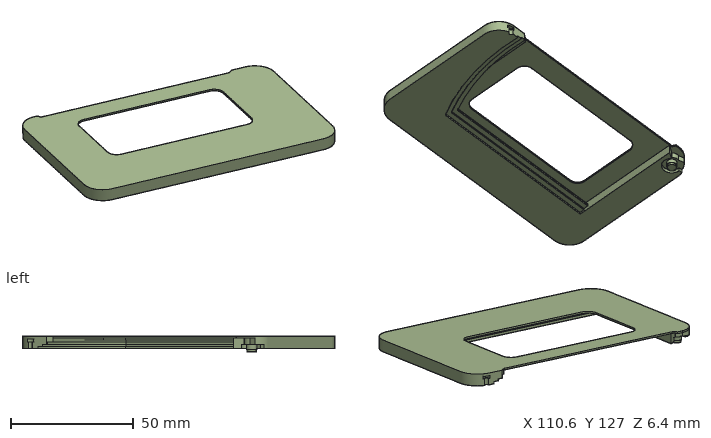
import cadquery as cq
import math

turn_angle = -29.4
plate_width = 70.2
plate_length = 113.3
plate_thickness = 5.1
corner_radius = 8.5
cover_thickness = 0.8

half_width = plate_width / 2
half_length = plate_length / 2

relief_depth = 1.5
relief_edge = relief_depth - half_width
relief_top_inner = 39.9
relief_top_outer = 42.0
relief_bottom_inner = -45.9
relief_bottom_outer = -46.6

window_width = 33.8
window_length = 65.7
window_center = (-7.0, -2.5)
window_radius = 4.2

pivot = (-29.1, -50.4)
boss_diameter = 6.1
arm_bottom = -3.4
pin_diameter = 4.2
tip_diameter = 3.8
pin_shoulder = -5.3
pin_bottom = -6.4
clearance_radius = 4.2
clearance_right = -29.2

pocket_bottom_wall = -44.5
upper_end_wall = relief_top_inner
pocket_sweep_radius = 92.2
pocket_right_wall = 12.7
pocket_layers = [
    (-cover_thickness, -1.5, 5.6, upper_end_wall),
    (-1.5, -2.3, 0.8, upper_end_wall),
    (-2.3, arm_bottom, 0, half_length),
    (arm_bottom, -4.2, 2.2, half_length),
    (-4.2, -plate_thickness, 4.3, half_length),
]

cutback_inner = (-31.2, -48.1)
cutback_middle = (-31.6, -49.9)
cutback_outer = (-33.0, -54.9)

groove_diameter = 1.9
groove_top = -2.3
groove_head_diameter = 3.0
groove_head_top = -1.1
groove_angle = 170.0


def prism(sketch, top, bottom):
    """Extrude a flat outline drawn at z = 0 so that it fills bottom..top."""
    return sketch.extrude(top - bottom).translate((0, 0, bottom))


def cylinder(center, diameter, top, bottom):
    return prism(cq.Workplane("XY").center(*center).circle(diameter / 2), top, bottom)


def block(left, right, low, high, top, bottom):
    outline = cq.Workplane("XY").center((left + right) / 2, (low + high) / 2).rect(right - left, high - low)
    return prism(outline, top, bottom)


def make_plate():
    blank = prism(cq.Workplane("XY").rect(plate_width, plate_length), 0, -plate_thickness)
    blank = blank.edges("|Z").fillet(corner_radius)
    relief = cq.Workplane("XY").polyline(
        [
            (-half_width, relief_top_outer),
            (relief_edge, relief_top_inner),
            (relief_edge, relief_bottom_inner),
            (-half_width, relief_bottom_outer),
        ]
    ).close()
    return blank.cut(prism(relief, 0, -plate_thickness))


def make_window():
    outline = cq.Workplane("XY").center(*window_center).rect(window_width, window_length)
    return prism(outline, 0, -plate_thickness).edges("|Z").fillet(window_radius)


def make_pocket():
    pocket = None
    for top, bottom, cut_back, end_wall in pocket_layers:
        right_wall = pocket_right_wall + cut_back
        sweep_diameter = 2 * (pocket_sweep_radius + cut_back)
        layer = block(-half_width, right_wall, pocket_bottom_wall, end_wall, top, bottom)
        layer = layer.intersect(cylinder(pivot, sweep_diameter, top, bottom))
        pocket = layer if pocket is None else pocket.union(layer)
    return pocket


def make_corner_cutback():
    side = -plate_width
    wedge = cq.Workplane("XY").polyline(
        [
            (relief_edge, pocket_bottom_wall),
            cutback_inner,
            cutback_middle,
            cutback_outer,
            (side, cutback_outer[1]),
            (side, pocket_bottom_wall),
        ]
    ).close()
    wedge = prism(wedge, -cover_thickness, -plate_thickness)
    boss = cylinder(pivot, boss_diameter, -cover_thickness, arm_bottom)
    clearance = cylinder(pivot, 2 * clearance_radius, arm_bottom, -plate_thickness)
    opening = block(side, clearance_right, -half_length, pivot[1], arm_bottom, -plate_thickness)
    return wedge.cut(boss).union(clearance).union(opening)


def make_pin():
    shank = cylinder(pivot, pin_diameter, arm_bottom, pin_shoulder)
    tip = cylinder(pivot, tip_diameter, pin_shoulder, pin_bottom)
    return shank.union(tip)


def make_corner_groove():
    angle = math.radians(groove_angle)
    center = (
        corner_radius - half_width + corner_radius * math.cos(angle),
        half_length - corner_radius + corner_radius * math.sin(angle),
    )
    slot = cylinder(center, groove_diameter, groove_top, -plate_thickness)
    head = cylinder(center, groove_head_diameter, groove_head_top, groove_top)
    return slot.union(head)


body = make_plate()
for void in (make_window(), make_pocket(), make_corner_cutback(), make_corner_groove()):
    body = body.cut(void)
body = body.union(make_pin())

result = body.rotate((0, 0, 0), (0, 0, 1), turn_angle)